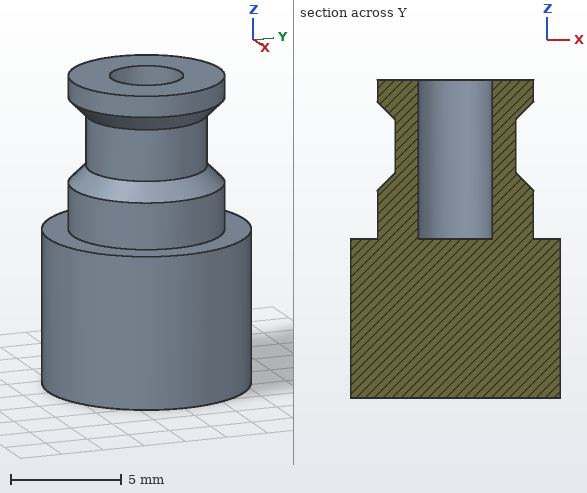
import cadquery as cq

total_height = 14.42
base_diameter = 9.5
collar_diameter = 7.1
neck_diameter = 5.5
bore_diameter = 3.35
base_height = 7.21
collar_height = 2.19
rim_height = 1.0

base_radius = base_diameter / 2
collar_radius = collar_diameter / 2
neck_radius = neck_diameter / 2

cone_height = collar_radius - neck_radius
collar_top = base_height + collar_height
neck_bottom = collar_top + cone_height
rim_bottom = total_height - rim_height
neck_top = rim_bottom - cone_height

bore_depth = total_height - base_height


def make_body():
    """Revolve the stepped half profile about the Z axis."""
    return (
        cq.Workplane("XZ")
        .lineTo(base_radius, 0)
        .lineTo(base_radius, base_height)
        .lineTo(collar_radius, base_height)
        .lineTo(collar_radius, collar_top)
        .lineTo(neck_radius, neck_bottom)
        .lineTo(neck_radius, neck_top)
        .lineTo(collar_radius, rim_bottom)
        .lineTo(collar_radius, total_height)
        .lineTo(0, total_height)
        .close()
        .revolve(360, (0, 0, 0), (0, 1, 0))
    )


def cut_bore(body):
    """Cut the flat-bottomed bore from the top face."""
    return body.faces(">Z").workplane().hole(bore_diameter, bore_depth)


result = cut_bore(make_body())